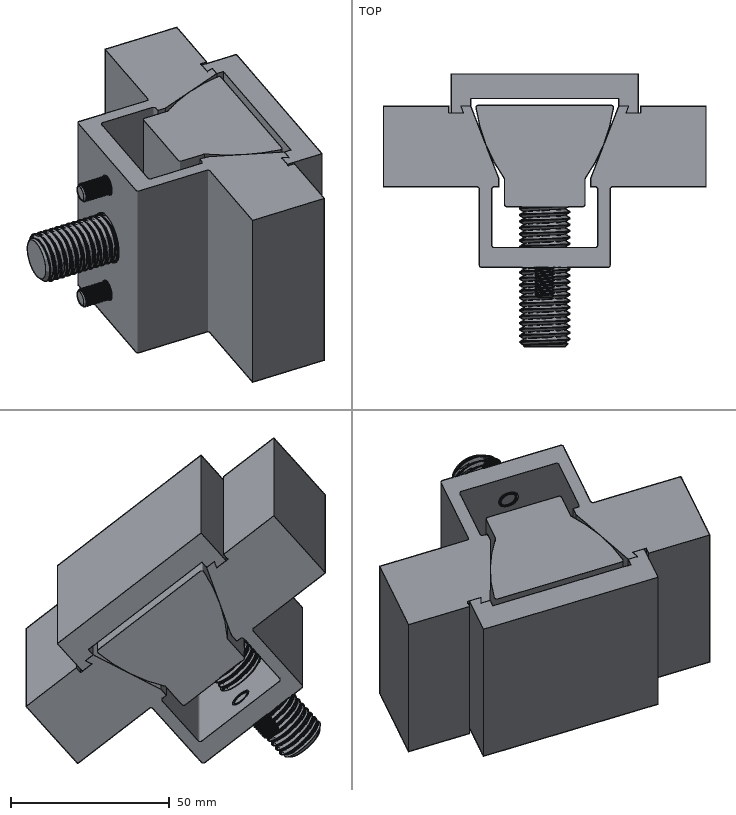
import cadquery as cq
import math

HEIGHT = 63.5
FLANGE_WIDTH = 101.6
FLANGE_FRONT_Y = 25.4
FLANGE_BACK_Y = 50.8
BOX_WIDTH = 41.2
CAVITY_WIDTH = 33.3
FRONT_WALL = 6.3
CORNER_RADIUS = 0.79

THROAT_HALF_BACK = 23.3
THROAT_HALF_FRONT = 14.4
THROAT_LIP_Y = 28.0

GROOVE_DEPTH = 2.1
GROOVE_HALF_OUTER = 30.2
RIDGE_HALF_TOP = 26.4
RIDGE_HALF_BASE = 25.6

COVER_HALF_WIDTH = 29.5
COVER_RISE = 10.2
COVER_PLATE = 7.8

WEDGE_BACK_Y = 51.1
WEDGE_FRONT_Y = 19.1
STEM_HALF_WIDTH = 12.7
FLANK_RADIUS = 50.8
CONTACT_Y = 39.1

CREST_FLAT = 0.12
ROOT_FLAT = 0.12
FLANK_STEPS = 10
RING_MARGIN = 0.5

BOLT_DIAMETER = 16.0
BOLT_ROOT = 13.5
BOLT_TIP = 12.8
BOLT_PITCH = 2.0
BOLT_REACH = 25.0
BOLT_PHASE = 0.46

STUD_DIAMETER = 6.0
STUD_ROOT = 4.9
STUD_TIP = 4.7
STUD_PITCH = 1.0
STUD_REACH = 9.4
STUD_PHASE = 0.46
STUD_OFFSET = 20.6

BOLT_HOLE = 16.6
STUD_HOLE = 6.6


def extrude_outline(outline):
    """Extrude an XY outline over the common height, centred on Z = 0."""
    return outline.close().extrude(HEIGHT / 2, both=True)


def block(width, y_min, y_max):
    """Full-height block centred on X between two Y values."""
    return cq.Workplane("XY").box(width, y_max - y_min, HEIGHT).translate((0, (y_min + y_max) / 2, 0))


def front_hole(diameter, z):
    """Cutter for a round hole through the front wall."""
    return (
        cq.Workplane("XZ", origin=(0, 0, z))
        .circle(diameter / 2)
        .extrude(-FRONT_WALL)
    )


def make_housing():
    cavity_half = CAVITY_WIDTH / 2
    box = block(BOX_WIDTH, 0, FLANGE_BACK_Y).edges("|Z and <Y").fillet(CORNER_RADIUS)
    body = box.union(block(FLANGE_WIDTH, FLANGE_FRONT_Y, FLANGE_BACK_Y))
    root_edges = cq.selectors.BoxSelector(
        (-BOX_WIDTH / 2 - 1, FLANGE_FRONT_Y - 1, -HEIGHT), (BOX_WIDTH / 2 + 1, FLANGE_FRONT_Y + 1, HEIGHT)
    )
    body = body.edges("|Z").edges(root_edges).fillet(CORNER_RADIUS)

    cavity = block(2 * cavity_half, FRONT_WALL, FLANGE_FRONT_Y).edges("|Z").fillet(CORNER_RADIUS)
    throat = extrude_outline(
        cq.Workplane("XY")
        .moveTo(-THROAT_HALF_FRONT, FLANGE_FRONT_Y - CORNER_RADIUS)
        .lineTo(THROAT_HALF_FRONT, FLANGE_FRONT_Y - CORNER_RADIUS)
        .lineTo(THROAT_HALF_FRONT, THROAT_LIP_Y)
        .lineTo(THROAT_HALF_BACK, FLANGE_BACK_Y)
        .lineTo(-THROAT_HALF_BACK, FLANGE_BACK_Y)
        .lineTo(-THROAT_HALF_FRONT, THROAT_LIP_Y)
    )
    body = body.cut(cavity).cut(throat)

    for side in (-1, 1):
        groove = extrude_outline(
            cq.Workplane("XY")
            .moveTo(side * GROOVE_HALF_OUTER, FLANGE_BACK_Y)
            .lineTo(side * GROOVE_HALF_OUTER, FLANGE_BACK_Y - GROOVE_DEPTH)
            .lineTo(side * RIDGE_HALF_BASE, FLANGE_BACK_Y - GROOVE_DEPTH)
            .lineTo(side * RIDGE_HALF_TOP, FLANGE_BACK_Y)
        )
        body = body.cut(groove)

    body = body.cut(front_hole(BOLT_HOLE, 0))
    for z in (-STUD_OFFSET, STUD_OFFSET):
        body = body.cut(front_hole(STUD_HOLE, z))
    return body


def make_cover():
    back_y = FLANGE_BACK_Y + COVER_RISE
    recess_y = back_y - COVER_PLATE
    hook_y = FLANGE_BACK_Y - GROOVE_DEPTH
    half = [
        (COVER_HALF_WIDTH, back_y),
        (COVER_HALF_WIDTH, hook_y),
        (RIDGE_HALF_BASE, hook_y),
        (RIDGE_HALF_TOP, FLANGE_BACK_Y),
        (THROAT_HALF_BACK, FLANGE_BACK_Y),
        (THROAT_HALF_BACK, recess_y),
    ]
    mirrored = [(-x, y) for x, y in reversed(half)]
    return extrude_outline(cq.Workplane("XY").polyline(half + mirrored))


def make_wedge():
    taper_run = THROAT_HALF_BACK - THROAT_HALF_FRONT
    taper_rise = FLANGE_BACK_Y - THROAT_LIP_Y
    taper = math.atan2(taper_run, taper_rise)
    contact_x = THROAT_HALF_FRONT + (CONTACT_Y - THROAT_LIP_Y) * math.tan(taper)
    centre_x = contact_x - FLANK_RADIUS * math.cos(taper)
    centre_y = CONTACT_Y + FLANK_RADIUS * math.sin(taper)

    back_half = centre_x + math.sqrt(FLANK_RADIUS**2 - (centre_y - WEDGE_BACK_Y) ** 2)
    shoulder_y = centre_y - math.sqrt(FLANK_RADIUS**2 - (STEM_HALF_WIDTH - centre_x) ** 2)

    wedge = extrude_outline(
        cq.Workplane("XY")
        .moveTo(-STEM_HALF_WIDTH, WEDGE_FRONT_Y)
        .lineTo(STEM_HALF_WIDTH, WEDGE_FRONT_Y)
        .lineTo(STEM_HALF_WIDTH, shoulder_y)
        .threePointArc((contact_x, CONTACT_Y), (back_half, WEDGE_BACK_Y))
        .lineTo(-back_half, WEDGE_BACK_Y)
        .threePointArc((-contact_x, CONTACT_Y), (-STEM_HALF_WIDTH, shoulder_y))
    )
    return wedge.edges("|Z and (<Y or >Y)").fillet(CORNER_RADIUS)


def make_thread(diameter, root, pitch, length, phase):
    """Right-handed thread along +Z from Z = 0, with square ends.

    Its cross-section has a crest arc and a root arc joined by two Archimedean spirals,
    and turns once per pitch.
    """
    crest_radius = diameter / 2
    root_radius = root / 2
    crest_angle = -2 * math.pi * phase / pitch
    half_crest = math.pi * CREST_FLAT
    half_root = math.pi * ROOT_FLAT

    def polar(radius, angle):
        return (radius * math.cos(crest_angle + angle), radius * math.sin(crest_angle + angle))

    def flank_point(step, side):
        part = step / FLANK_STEPS
        radius = crest_radius + part * (root_radius - crest_radius)
        return polar(radius, side * (half_crest + part * (math.pi - half_root - half_crest)))

    down = [flank_point(step, 1) for step in range(1, FLANK_STEPS + 1)]
    up = [flank_point(step, -1) for step in reversed(range(FLANK_STEPS))]
    section = (
        cq.Workplane("XY")
        .moveTo(*polar(crest_radius, -half_crest))
        .threePointArc(polar(crest_radius, 0), polar(crest_radius, half_crest))
        .spline(down, includeCurrent=True)
        .threePointArc(polar(root_radius, math.pi), polar(root_radius, math.pi + half_root))
        .spline(up, includeCurrent=True)
        .close()
    )
    return section.twistExtrude(length, 360 * length / pitch)


def make_threaded_rod(diameter, root, tip, pitch, length, phase):
    """Right-handed threaded rod with its chamfered tip at the origin, running along +Y."""
    crest_radius = diameter / 2
    tip_radius = tip / 2

    chamfer = crest_radius - tip_radius
    chamfer_ring = (
        cq.Workplane("XZ")
        .moveTo(tip_radius - RING_MARGIN, -RING_MARGIN)
        .lineTo(crest_radius + RING_MARGIN, -RING_MARGIN)
        .lineTo(crest_radius + RING_MARGIN, chamfer + RING_MARGIN)
        .close()
        .revolve(360, (0, 0, 0), (0, 1, 0))
    )
    full_turn = make_thread(diameter, root, pitch, pitch, phase)
    tip_turn = full_turn.cut(chamfer_ring)
    full_turns = int(length / pitch)
    last_turn = make_thread(diameter, root, pitch, length - full_turns * pitch, phase)

    skin = tip_turn.faces("not >Z").vals()
    for turn in range(1, full_turns):
        skin += full_turn.faces("not (<Z or >Z)").translate((0, 0, turn * pitch)).vals()
    skin += last_turn.faces("not <Z").translate((0, 0, full_turns * pitch)).vals()
    rod = cq.Workplane(cq.Solid.makeSolid(cq.Shell.makeShell(skin)))
    return rod.rotate((0, 0, 0), (1, 0, 0), -90)


def make_bolt():
    length = BOLT_REACH + WEDGE_FRONT_Y
    rod = make_threaded_rod(BOLT_DIAMETER, BOLT_ROOT, BOLT_TIP, BOLT_PITCH, length, BOLT_PHASE)
    return rod.translate((0, -BOLT_REACH, 0))


def make_studs():
    length = STUD_REACH + FRONT_WALL
    rod = make_threaded_rod(STUD_DIAMETER, STUD_ROOT, STUD_TIP, STUD_PITCH, length, STUD_PHASE)
    return [rod.translate((0, -STUD_REACH, z)) for z in (-STUD_OFFSET, STUD_OFFSET)]


housing = make_housing()
cover = make_cover()
wedge = make_wedge()
bolt = make_bolt()
studs = make_studs()

result = cq.Compound.makeCompound(
    [housing.val(), cover.val(), wedge.val(), bolt.val(), *[stud.val() for stud in studs]]
)